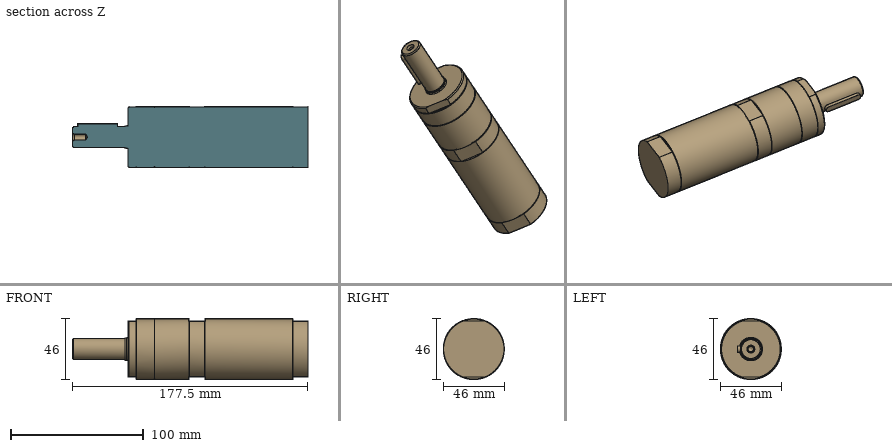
import cadquery as cq
import math

total_length = 177.5
body_diameter = 46.0
flat_distance = 42.0

shaft_diameter = 16.0
shaft_chamfer = 0.9
shoulder_diameter = 16.9
shoulder_start = 39.5
collar_diameter = 17.5
collar_start = 40.6

face_x = 41.7
face_chamfer = 0.9
front_flat_end = 48.0
seam_groove_start = 61.6
seam_groove_width = 0.2
seam_groove_depth = 0.5
middle_flat_start = 87.7
middle_flat_end = 100.0
rear_flat_start = 166.1
joint_chamfer = 0.4

key_start = 3.9
key_length = 30.0
key_width = 5.0
key_top = 10.1
key_bottom = 5.0

hole_diameter = 4.0
hole_depth = 10.0
countersink_diameter = 5.9
countersink_half_angle = 30
drill_half_angle = 60


def revolve_about_x(points):
    """Solid of revolution about X from (x, radius) points that begin and end on the axis."""
    return cq.Workplane("XY").polyline(points).close().revolve(360, (0, 0, 0), (1, 0, 0))


def make_turned_body():
    shaft_r = shaft_diameter / 2
    shoulder_r = shoulder_diameter / 2
    body_r = body_diameter / 2
    joint_r = body_r - joint_chamfer
    groove_r = body_r - seam_groove_depth
    return revolve_about_x([
        (0, 0),
        (0, shaft_r - shaft_chamfer),
        (shaft_chamfer, shaft_r),
        (shoulder_start, shaft_r),
        (shoulder_start, shoulder_r),
        (collar_start, shoulder_r),
        (face_x, collar_diameter / 2),
        (face_x, body_r - face_chamfer),
        (face_x + face_chamfer, body_r),
        (front_flat_end, body_r),
        (front_flat_end, joint_r),
        (front_flat_end + joint_chamfer, body_r),
        (seam_groove_start, body_r),
        (seam_groove_start, groove_r),
        (seam_groove_start + seam_groove_width, groove_r),
        (seam_groove_start + seam_groove_width, body_r),
        (middle_flat_start, body_r),
        (middle_flat_start, joint_r),
        (middle_flat_start + joint_chamfer, body_r),
        (middle_flat_end - joint_chamfer, body_r),
        (middle_flat_end, joint_r),
        (middle_flat_end, body_r),
        (rear_flat_start - joint_chamfer, body_r),
        (rear_flat_start, joint_r),
        (rear_flat_start, body_r),
        (total_length, body_r),
        (total_length, 0),
    ])


def make_flat_cutter(x_start, x_end):
    """Everything outside a pair of flats facing +Z and -Z, between two X positions."""
    length = x_end - x_start
    centre = ((x_start + x_end) / 2, 0, 0)
    outside = cq.Workplane("XY", origin=centre).box(length, 2 * body_diameter, 2 * body_diameter)
    kept = cq.Workplane("XY", origin=centre).box(length, 2 * body_diameter, flat_distance)
    return outside.cut(kept)


def make_key():
    """Round-ended key, extruded inward from its top face."""
    return (
        cq.Workplane("XZ", origin=(key_start + key_length / 2, key_top, 0))
        .slot2D(key_length, key_width)
        .extrude(key_top - key_bottom)
    )


def make_centre_hole():
    hole_r = hole_diameter / 2
    countersink_r = countersink_diameter / 2
    countersink_depth = (countersink_r - hole_r) / math.tan(math.radians(countersink_half_angle))
    cone_depth = hole_r / math.tan(math.radians(drill_half_angle))
    return revolve_about_x([
        (0, 0),
        (0, countersink_r),
        (countersink_depth, hole_r),
        (hole_depth, hole_r),
        (hole_depth + cone_depth, 0),
    ])


flat_sections = [
    (face_x, front_flat_end),
    (middle_flat_start, middle_flat_end),
    (rear_flat_start, total_length),
]

result = make_turned_body()
for section_start, section_end in flat_sections:
    result = result.cut(make_flat_cutter(section_start, section_end))
result = result.union(make_key())
result = result.cut(make_centre_hole())